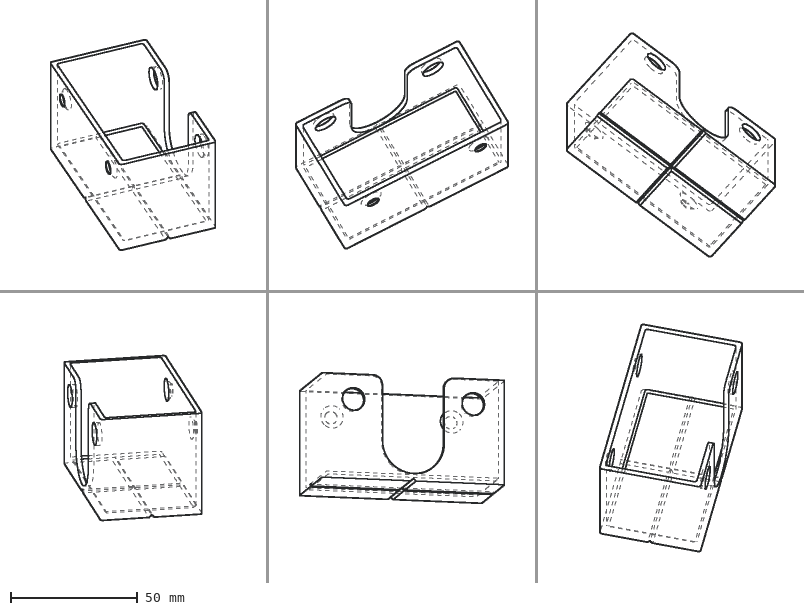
import cadquery as cq

LENGTH = 74.0
WIDTH = 41.0
HEIGHT = 42.0
WALL = 2.1
CORNER_RADIUS = 1.0
INNER_CORNER_RADIUS = 1.0
FLOOR_CHAMFER = 0.95

HOLE_SPACING = 48.55
HOLE_HEIGHT = 32.0
SCREW_DIAMETER = 5.0
ACCESS_DIAMETER = 9.0
COUNTERSINK_DIAMETER = ACCESS_DIAMETER
COUNTERSINK_LIP = 0.3

OPENING_RADIUS = 12.5
OPENING_BOTTOM = WALL + FLOOR_CHAMFER
OPENING_LIP_RADIUS = 4.1

GROOVE_DEPTH = 1.0
GROOVE_HALF_WIDTH = GROOVE_DEPTH

FRONT_Y = -WIDTH / 2
BACK_Y = WIDTH / 2
CUT_MARGIN = 0.75


def open_box():
    """Tray with rounded upright corners and a chamfered inner floor edge."""
    outer = cq.Workplane("XY").box(LENGTH, WIDTH, HEIGHT, centered=(True, True, False))
    outer = outer.edges("|Z").fillet(CORNER_RADIUS)
    cavity = (
        cq.Workplane("XY")
        .workplane(offset=WALL)
        .box(LENGTH - 2 * WALL, WIDTH - 2 * WALL, HEIGHT, centered=(True, True, False))
        .edges("|Z")
        .fillet(INNER_CORNER_RADIUS)
        .faces("<Z")
        .chamfer(FLOOR_CHAMFER)
    )
    return outer.cut(cavity)


def wall_holes(wall_y, diameter):
    """Pair of cylinders along Y, centred on the wall's outer face."""
    reach = WALL + CUT_MARGIN
    return (
        cq.Workplane("XZ", origin=(0, wall_y, HOLE_HEIGHT))
        .pushPoints([(-HOLE_SPACING / 2, 0), (HOLE_SPACING / 2, 0)])
        .circle(diameter / 2)
        .extrude(reach, both=True)
    )


def countersinks():
    """Cones that widen from the thin outer lip to the inner face of the front wall."""
    depth = WALL - COUNTERSINK_LIP
    cone = cq.Solid.makeCone(
        SCREW_DIAMETER / 2, COUNTERSINK_DIAMETER / 2, depth, dir=cq.Vector(0, 1, 0)
    )
    left_x = -HOLE_SPACING / 2
    left_cone = cq.Workplane(cone.translate(cq.Vector(left_x, FRONT_Y + COUNTERSINK_LIP, HOLE_HEIGHT)))
    return left_cone.union(left_cone.mirror("YZ"))


def back_opening():
    """U-shaped cutter whose top flares out around the rounded lips."""
    radius = OPENING_RADIUS
    lip = OPENING_LIP_RADIUS
    arc_start = OPENING_BOTTOM + radius
    lip_start = HEIGHT - lip
    return (
        cq.Workplane("XZ", origin=(0, BACK_Y, 0))
        .moveTo(-radius - lip, HEIGHT)
        .radiusArc((-radius, lip_start), lip)
        .lineTo(-radius, arc_start)
        .threePointArc((0, OPENING_BOTTOM), (radius, arc_start))
        .lineTo(radius, lip_start)
        .radiusArc((radius + lip, HEIGHT), lip)
        .close()
        .extrude(WALL + CUT_MARGIN, both=True)
    )


def floor_groove(plane, length):
    """V groove on the underside, running along the normal of the plane."""
    return (
        cq.Workplane(plane)
        .polyline([(-GROOVE_HALF_WIDTH, 0), (0, GROOVE_DEPTH), (GROOVE_HALF_WIDTH, 0)])
        .close()
        .extrude(length / 2, both=True)
    )


result = (
    open_box()
    .cut(wall_holes(FRONT_Y, SCREW_DIAMETER))
    .cut(countersinks())
    .cut(wall_holes(BACK_Y, ACCESS_DIAMETER))
    .cut(back_opening())
    .cut(floor_groove("XZ", WIDTH))
    .cut(floor_groove("YZ", LENGTH))
)